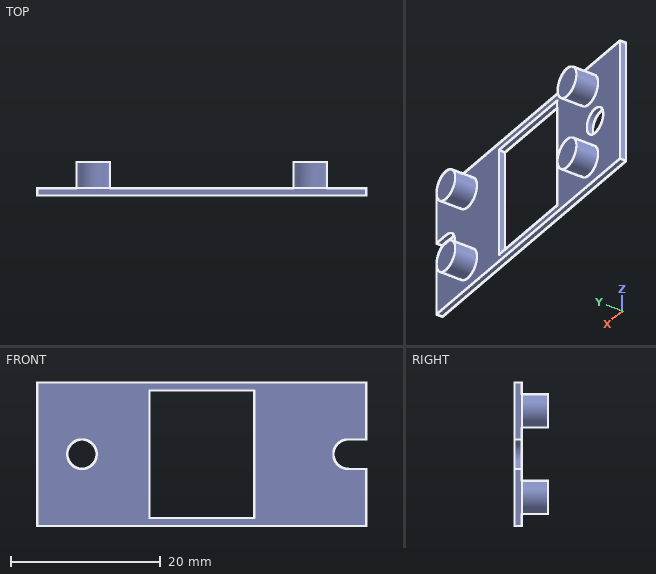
import cadquery as cq

plate_length = 44.0
plate_height = 19.2
plate_thickness = 1.0

window_left = 15.05
window_width = 13.95
window_rim = 1.1
window_height = plate_height - 2 * window_rim

hole_diameter = 3.9
hole_x = 6.0
slot_arc_x = 41.55

pin_diameter = 4.5
pin_length = 3.5
pin_spacing_x = 29.0
pin_spacing_z = 11.55

mid_x = plate_length / 2
mid_z = plate_height / 2


def block(x_start, width, height):
    """Block through the plate thickness, centred on the plate's mid height."""
    solid = cq.Workplane("XY").box(width, plate_thickness, height, centered=(False, False, True))
    return solid.translate((x_start, 0, mid_z))


def cylinder(x, z, diameter, y_start, length):
    """Cylinder running along +Y from y_start."""
    axis_start = cq.Vector(x, y_start, z)
    return cq.Workplane(cq.Solid.makeCylinder(diameter / 2, length, axis_start, cq.Vector(0, 1, 0)))


def make_plate():
    plate = block(0, plate_length, plate_height)
    window = block(window_left, window_width, window_height)
    hole = cylinder(hole_x, mid_z, hole_diameter, 0, plate_thickness)
    slot_end = cylinder(slot_arc_x, mid_z, hole_diameter, 0, plate_thickness)
    slot_mouth = block(slot_arc_x, plate_length - slot_arc_x, hole_diameter)
    return plate.cut(window).cut(hole).cut(slot_end).cut(slot_mouth)


def add_pins(body):
    for side_x in (-1, 1):
        for side_z in (-1, 1):
            x = mid_x + side_x * pin_spacing_x / 2
            z = mid_z + side_z * pin_spacing_z / 2
            body = body.union(cylinder(x, z, pin_diameter, plate_thickness, pin_length))
    return body


result = add_pins(make_plate())